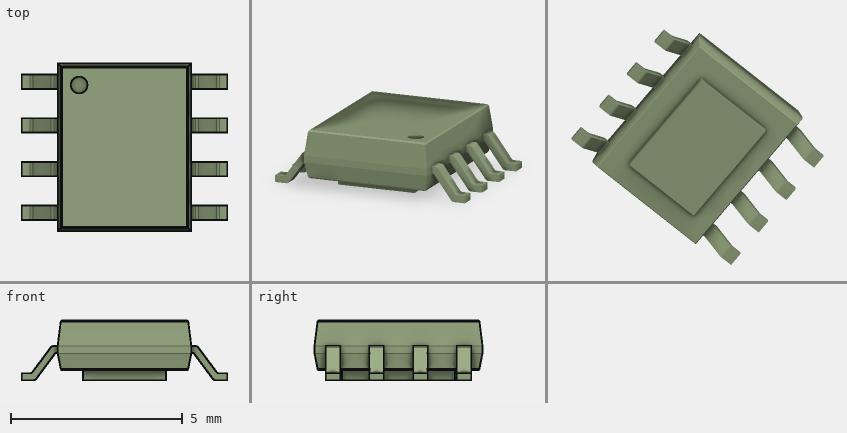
import cadquery as cq
import math

SPAN_X = 6.0
BODY_WIDTH = 3.9
BODY_LENGTH = 4.9
TOTAL_HEIGHT = 1.75
STANDOFF = 0.3

LEAD_THICKNESS = 0.21
LEAD_WIDTH = 0.425
LEAD_PITCH = 1.27
LEADS_PER_SIDE = 4
LEAD_TOP = 1.0
FOOT_CORNER_X = 2.705
KNEE_CORNER_X = 2.12
BEND_RADIUS = 0.1

BELT_TOP = LEAD_TOP
BELT_BOTTOM = LEAD_TOP - LEAD_THICKNESS
TAPER_INSET = 0.09
BEVEL = 0.04
TOP_BEVEL_INSET = 0.04
BOTTOM_BEVEL_INSET = 0.025

MARK_DIAMETER = 0.485
MARK_DEPTH = 0.2
MARK_X = -1.32
MARK_Y = 1.81

PAD_WIDTH = 2.42
PAD_LENGTH = 3.3


def make_housing():
    """Housing with drafted sides, bevelled rims and a round pin-one recess."""
    top_inset = TAPER_INSET + TOP_BEVEL_INSET
    bottom_inset = TAPER_INSET + BOTTOM_BEVEL_INSET
    sections = [
        (STANDOFF, bottom_inset),
        (STANDOFF + BEVEL, TAPER_INSET),
        (BELT_BOTTOM, 0),
        (BELT_TOP, 0),
        (TOTAL_HEIGHT - BEVEL, TAPER_INSET),
        (TOTAL_HEIGHT, top_inset),
    ]
    outlines = [
        cq.Workplane("XY", origin=(0, 0, height))
        .rect(BODY_WIDTH - 2 * inset, BODY_LENGTH - 2 * inset)
        .wires()
        .val()
        for height, inset in sections
    ]
    housing = cq.Workplane(cq.Solid.makeLoft(outlines, ruled=True))
    mark = (
        cq.Workplane("XY", origin=(MARK_X, MARK_Y, TOTAL_HEIGHT - MARK_DEPTH))
        .circle(MARK_DIAMETER / 2)
        .extrude(MARK_DEPTH)
    )
    return housing.cut(mark)


def make_lead():
    """Gull-wing lead on the +X side, centred on Y = 0."""
    slope_angle = math.atan2(LEAD_TOP - LEAD_THICKNESS, FOOT_CORNER_X - KNEE_CORNER_X)
    corner_shift = LEAD_THICKNESS * math.tan(slope_angle / 2)
    profile = [
        (BODY_WIDTH / 2, LEAD_TOP),
        (KNEE_CORNER_X, LEAD_TOP),
        (FOOT_CORNER_X, LEAD_THICKNESS),
        (SPAN_X / 2, LEAD_THICKNESS),
        (SPAN_X / 2, 0),
        (FOOT_CORNER_X - corner_shift, 0),
        (KNEE_CORNER_X - corner_shift, BELT_BOTTOM),
        (BODY_WIDTH / 2, BELT_BOTTOM),
    ]
    lead = cq.Workplane("XZ").polyline(profile).close().extrude(LEAD_WIDTH / 2, both=True)
    rounded_bends = [profile[1], profile[2], profile[5]]
    for x, z in rounded_bends:
        bend_edge = cq.selectors.NearestToPointSelector((x, 0, z))
        lead = lead.edges("|Y").edges(bend_edge).fillet(BEND_RADIUS)
    return lead


def make_leads():
    """Both rows of leads, evenly pitched along Y."""
    right_lead = make_lead()
    left_lead = right_lead.mirror("YZ")
    first_y = -LEAD_PITCH * (LEADS_PER_SIDE - 1) / 2
    leads = []
    for index in range(LEADS_PER_SIDE):
        offset = (0, first_y + index * LEAD_PITCH, 0)
        leads.append(right_lead.translate(offset).val())
        leads.append(left_lead.translate(offset).val())
    return leads


def make_thermal_pad():
    """Flat pad filling the gap between the housing and the seating plane."""
    return cq.Workplane("XY").rect(PAD_WIDTH, PAD_LENGTH).extrude(STANDOFF)


housing = make_housing()
leads = make_leads()
thermal_pad = make_thermal_pad()

result = cq.Compound.makeCompound([housing.val(), *leads, thermal_pad.val()])